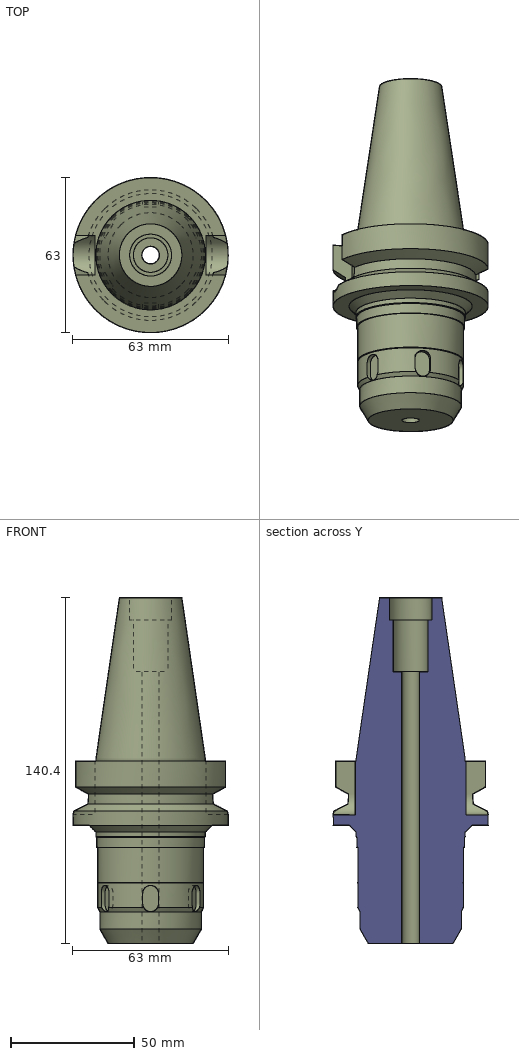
import cadquery as cq
import math


gauge_radius = 44.45 / 2
taper_length = 65.4
taper_half_slope = 7 / 48
taper_tip_radius = gauge_radius - taper_length * taper_half_slope

flange_radius = 63 / 2
flange_top_z = -1.0
flange_bottom_z = -27.0
groove_radius = 53 / 2
groove_centre_z = -16.35
groove_floor_width = 4.0
groove_flank_angle = 30
groove_flank_height = (flange_radius - groove_radius) * math.tan(math.radians(groove_flank_angle))
groove_floor_top_z = groove_centre_z + groove_floor_width / 2
groove_floor_bottom_z = groove_centre_z - groove_floor_width / 2

collar_radius = 44.5 / 2
cone_height = 2.75
collar_top_z = flange_bottom_z - cone_height
collar_bottom_z = -31.6
collar_chamfer = 0.3
neck_radius = collar_radius - collar_chamfer
neck_bottom_z = -35.9

nut_radius = 43 / 2
nut_seam_z = -50.3
nut_seam_width = 0.3
nut_seam_depth = 0.15
nut_step_top_z = -60.4
nut_step_bottom_z = -62.1
nose_radius = 20.65
nose_cone_top_z = -69.1
nose_z = -75.0
nose_cone_angle = 30
nose_tip_radius = nose_radius - (nose_cone_top_z - nose_z) * math.tan(math.radians(nose_cone_angle))

keyway_width = 16.1
keyway_floor_x = 22.5
keyway_bottom_z = -22.7

slot_count = 6
slot_width = 6.4
slot_length = 10.6
slot_floor_radius = 19.5
slot_centre_z = -56.7

counterbore_diameter = 17.0
counterbore_depth = 9.0
thread_bore_diameter = 14.0
thread_bore_depth = 30.0
through_hole_diameter = 7.0


def turned_body():
    profile = [
        (0, taper_length),
        (taper_tip_radius, taper_length),
        (gauge_radius, 0),
        (gauge_radius, flange_top_z),
        (flange_radius, flange_top_z),
        (flange_radius, groove_floor_top_z + groove_flank_height),
        (groove_radius, groove_floor_top_z),
        (groove_radius, groove_floor_bottom_z),
        (flange_radius, groove_floor_bottom_z - groove_flank_height),
        (flange_radius, flange_bottom_z),
        (collar_radius + cone_height, flange_bottom_z),
        (collar_radius, collar_top_z),
        (collar_radius, collar_bottom_z),
        (neck_radius, collar_bottom_z - collar_chamfer),
        (neck_radius, neck_bottom_z),
        (nut_radius, neck_bottom_z),
        (nut_radius, nut_seam_z + nut_seam_width / 2),
        (nut_radius - nut_seam_depth, nut_seam_z),
        (nut_radius, nut_seam_z - nut_seam_width / 2),
        (nut_radius, nut_step_top_z),
        (nose_radius, nut_step_bottom_z),
        (nose_radius, nose_cone_top_z),
        (nose_tip_radius, nose_z),
        (0, nose_z),
    ]
    return cq.Workplane("XZ").polyline(profile).close().revolve(360, (0, 0, 0), (0, 1, 0))


def keyway_cutter():
    """Keyway on the +X side: straight walls with a full-round lower end."""
    half_width = keyway_width / 2
    round_centre_z = keyway_bottom_z + half_width
    return (
        cq.Workplane("YZ", origin=(keyway_floor_x, 0, 0))
        .moveTo(-half_width, flange_top_z)
        .lineTo(-half_width, round_centre_z)
        .threePointArc((0, keyway_bottom_z), (half_width, round_centre_z))
        .lineTo(half_width, flange_top_z)
        .close()
        .extrude(flange_radius - keyway_floor_x)
    )


def wrench_slot_cutter():
    """Upright round-ended slot on the +X side with a flat floor."""
    return (
        cq.Workplane("YZ", origin=(slot_floor_radius, 0, slot_centre_z))
        .slot2D(slot_length, slot_width, 90)
        .extrude(nut_radius - slot_floor_radius)
    )


def bore_cutter(diameter, depth):
    return cq.Workplane("XY", origin=(0, 0, taper_length)).circle(diameter / 2).extrude(-depth)


def about_axis(shape, angle):
    return shape.rotate((0, 0, 0), (0, 0, 1), angle)


result = turned_body()

for keyway_angle in (0, 180):
    result = result.cut(about_axis(keyway_cutter(), keyway_angle))

for slot_index in range(slot_count):
    slot_angle = -90 + slot_index * 360 / slot_count
    result = result.cut(about_axis(wrench_slot_cutter(), slot_angle))

result = result.cut(bore_cutter(counterbore_diameter, counterbore_depth))
result = result.cut(bore_cutter(thread_bore_diameter, thread_bore_depth))
result = result.cut(bore_cutter(through_hole_diameter, taper_length - nose_z))